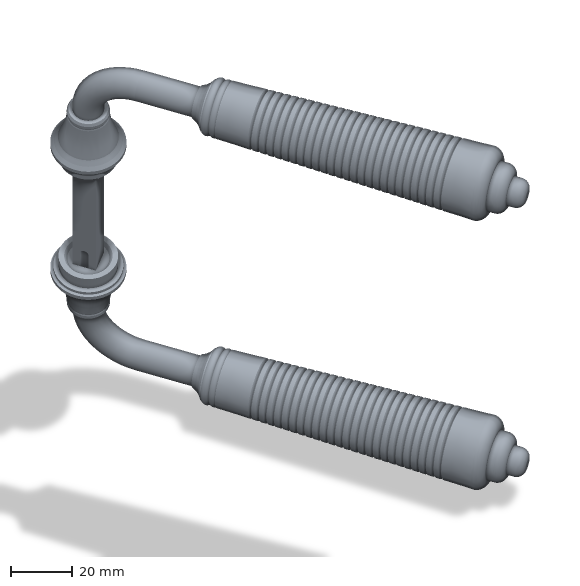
import cadquery as cq
import math


OVERALL_HEIGHT = 168.4
GRIP_DIAMETER = 25.5
GRIP_AXIS_Z = (OVERALL_HEIGHT - GRIP_DIAMETER) / 2
BEND_RADIUS = 18.0
TUBE_RADIUS = 5.2

SPINDLE_WIDTH = 8.0
SPINDLE_HALF_LENGTH = 42.1
SLOT_WIDTH = 2.9
SLOT_DEPTH = SLOT_WIDTH / 2
SLOT_FLOOR_FILLET = 1.2
SLOT_TIP_Z = 19.2

SOCKET_BASE_Z = 26.5
SPIGOT_RADIUS = 9.8
SPIGOT_TOP_Z = 31.3
RECESS_RADIUS = 7.9
RECESS_FLOOR_RADIUS = 6.9
RECESS_DEPTH = 1.3
LIP_RADIUS = 11.5
FLANGE_RADIUS = 12.5
FLANGE_BOTTOM_Z = 32.5
FLANGE_TOP_Z = 34.0
SHOULDER_RADIUS = 11.3
SHOULDER_Z = 35.2
FLARE_RADIUS = 10.0
FLARE_BOTTOM_Z = 36.9
FLARE_MID_RADIUS = 8.5
FLARE_MID_Z = 41.3
COLLAR_RADIUS = 7.0
COLLAR_BOTTOM_Z = 48.7
COLLAR_GROOVE_TOP_Z = 49.7
COLLAR_GROOVE_DEPTH = 0.2
COLLAR_EDGE_Z = 50.9
COLLAR_TOP_Z = 51.9
COLLAR_TOP_RADIUS = 6.5

FERRULE_START_X = 37.9
FERRULE_START_RADIUS = 5.7
CUP_MID_X = 40.2
CUP_MID_RADIUS = 7.0
CUP_END_X = 41.8
CUP_END_RADIUS = 9.0
BEAD_START_X = 42.3
BEAD_MEET_X = 45.0
BEAD_ROOT_RADIUS = 9.3
BEAD_CREST_RADIUS = 10.0

GRIP_START_X = 47.5
GRIP_START_RADIUS = 10.0
GRIP_END_X = 141.1
GRIP_END_RADIUS = GRIP_DIAMETER / 2
GRIP_FILLET = 3.9
GRIP_SHOULDER_X = GRIP_END_X - GRIP_FILLET
GROOVE_COUNT = 26
GROOVES_START_X = 59.1
GROOVES_END_X = 127.0
GROOVE_WIDTH = 1.2
GROOVE_PITCH = (GROOVES_END_X - GROOVE_WIDTH - GROOVES_START_X) / (GROOVE_COUNT - 1)
GROOVE_DEPTH = 0.8

KNOB_RADIUS = 8.6
KNOB_FILLET = 3.4
KNOB_END_X = 146.8
TIP_RADIUS = 5.0
TIP_FILLET = 3.2
TIP_END_X = 152.4

DIAGONAL = math.sqrt(0.5)


def on_grip_axis(profile):
    """Revolve an (x, radius) profile about X and lift it to the grip axis."""
    return profile.close().revolve(360, (0, 0, 0), (1, 0, 0)).translate((0, 0, GRIP_AXIS_Z))


def round_over(profile, end_x, end_radius, fillet):
    """Continue an (x, radius) profile with a convex quarter round that ends at end_x."""
    middle = (end_x - fillet + fillet * DIAGONAL, end_radius - fillet + fillet * DIAGONAL)
    return profile.lineTo(end_x - fillet, end_radius).threePointArc(middle, (end_x, end_radius - fillet))


def make_spindle():
    """Square bar with a round-tipped, round-bottomed slot in the -Y face of each end."""
    bar = cq.Workplane("XY").box(SPINDLE_WIDTH, SPINDLE_WIDTH, 2 * SPINDLE_HALF_LENGTH)
    half_width = SLOT_WIDTH / 2
    tip_centre_z = SLOT_TIP_Z + half_width
    slot = (
        cq.Workplane("XZ", origin=(0, SLOT_DEPTH - SPINDLE_WIDTH / 2, 0))
        .moveTo(-half_width, SPINDLE_HALF_LENGTH)
        .lineTo(-half_width, tip_centre_z)
        .threePointArc((0, SLOT_TIP_Z), (half_width, tip_centre_z))
        .lineTo(half_width, SPINDLE_HALF_LENGTH)
        .close()
        .extrude(SLOT_DEPTH)
        .faces(">Y")
        .edges("not >Z")
        .fillet(SLOT_FLOOR_FILLET)
    )
    return bar.cut(slot).cut(slot.mirror("XY"))


def make_socket():
    """Turned foot with spigot, flange, flare and collar, in (radius, z) on the XZ plane."""
    turned = (
        cq.Workplane("XZ")
        .moveTo(0, SOCKET_BASE_Z + RECESS_DEPTH)
        .lineTo(RECESS_FLOOR_RADIUS, SOCKET_BASE_Z + RECESS_DEPTH)
        .lineTo(RECESS_RADIUS, SOCKET_BASE_Z)
        .lineTo(SPIGOT_RADIUS, SOCKET_BASE_Z)
        .lineTo(SPIGOT_RADIUS, SPIGOT_TOP_Z)
        .lineTo(LIP_RADIUS, SPIGOT_TOP_Z)
        .lineTo(LIP_RADIUS, FLANGE_BOTTOM_Z)
        .lineTo(FLANGE_RADIUS, FLANGE_BOTTOM_Z)
        .lineTo(FLANGE_RADIUS, FLANGE_TOP_Z)
        .lineTo(SHOULDER_RADIUS, SHOULDER_Z)
        .lineTo(FLARE_RADIUS, FLARE_BOTTOM_Z)
        .threePointArc((FLARE_MID_RADIUS, FLARE_MID_Z), (COLLAR_RADIUS, COLLAR_BOTTOM_Z))
        .lineTo(COLLAR_RADIUS - COLLAR_GROOVE_DEPTH, (COLLAR_BOTTOM_Z + COLLAR_GROOVE_TOP_Z) / 2)
        .lineTo(COLLAR_RADIUS, COLLAR_GROOVE_TOP_Z)
        .lineTo(COLLAR_RADIUS, COLLAR_EDGE_Z)
        .lineTo(COLLAR_TOP_RADIUS, COLLAR_TOP_Z)
        .lineTo(0, COLLAR_TOP_Z)
        .close()
        .revolve(360, (0, 0, 0), (0, 1, 0))
    )
    spindle_hole = cq.Workplane("XY").rect(SPINDLE_WIDTH, SPINDLE_WIDTH).extrude(SPINDLE_HALF_LENGTH)
    return turned.cut(spindle_hole)


def make_neck():
    """Socket and bent tube in one piece, as far as the ferrule."""
    bend_start_z = GRIP_AXIS_Z - BEND_RADIUS
    bend_middle = (BEND_RADIUS * (1 - DIAGONAL), bend_start_z + BEND_RADIUS * DIAGONAL)
    path = (
        cq.Workplane("XZ")
        .moveTo(0, COLLAR_TOP_Z)
        .lineTo(0, bend_start_z)
        .threePointArc(bend_middle, (BEND_RADIUS, GRIP_AXIS_Z))
        .lineTo(FERRULE_START_X, GRIP_AXIS_Z)
    )
    tube = cq.Workplane("XY", origin=(0, 0, COLLAR_TOP_Z)).circle(TUBE_RADIUS).sweep(path)
    return make_socket().union(tube)


def make_ferrule():
    """Hollow-curved cup followed by two rounded beads."""
    profile = (
        cq.Workplane("XY")
        .moveTo(FERRULE_START_X, 0)
        .lineTo(FERRULE_START_X, FERRULE_START_RADIUS)
        .threePointArc((CUP_MID_X, CUP_MID_RADIUS), (CUP_END_X, CUP_END_RADIUS))
        .lineTo(BEAD_START_X, CUP_END_RADIUS)
        .lineTo(BEAD_START_X, BEAD_ROOT_RADIUS)
    )
    for start_x, end_x in [(BEAD_START_X, BEAD_MEET_X), (BEAD_MEET_X, GRIP_START_X)]:
        crest = ((start_x + end_x) / 2, BEAD_CREST_RADIUS)
        profile = profile.threePointArc(crest, (end_x, BEAD_ROOT_RADIUS))
    return on_grip_axis(profile.lineTo(GRIP_START_X, 0))


def grip_radius(x):
    """Radius of the tapered grip surface at x."""
    taper = (GRIP_END_RADIUS - GRIP_START_RADIUS) / (GRIP_SHOULDER_X - GRIP_START_X)
    return GRIP_START_RADIUS + taper * (x - GRIP_START_X)


def make_grip():
    """Tapered grip with evenly spaced V-shaped ring grooves and a rounded far end."""
    profile = cq.Workplane("XY").moveTo(GRIP_START_X, 0).lineTo(GRIP_START_X, GRIP_START_RADIUS)
    for index in range(GROOVE_COUNT):
        start_x = GROOVES_START_X + index * GROOVE_PITCH
        end_x = start_x + GROOVE_WIDTH
        middle_x = start_x + GROOVE_WIDTH / 2
        profile = (
            profile.lineTo(start_x, grip_radius(start_x))
            .lineTo(middle_x, grip_radius(middle_x) - GROOVE_DEPTH)
            .lineTo(end_x, grip_radius(end_x))
        )
    profile = round_over(profile, GRIP_END_X, GRIP_END_RADIUS, GRIP_FILLET)
    return on_grip_axis(profile.lineTo(GRIP_END_X, 0))


def make_knob():
    """Two-stage rounded knob that closes the grip."""
    profile = cq.Workplane("XY").moveTo(GRIP_END_X, 0).lineTo(GRIP_END_X, KNOB_RADIUS)
    profile = round_over(profile, KNOB_END_X, KNOB_RADIUS, KNOB_FILLET)
    profile = profile.lineTo(KNOB_END_X, TIP_RADIUS)
    profile = round_over(profile, TIP_END_X, TIP_RADIUS, TIP_FILLET)
    return on_grip_axis(profile.lineTo(TIP_END_X, 0))


spindle = make_spindle()
bodies = [spindle.val()]
for make_body in (make_neck, make_ferrule, make_grip, make_knob):
    upper = make_body()
    lower = upper.mirror("XY")
    bodies += [upper.val(), lower.val()]

result = cq.Compound.makeCompound(bodies)